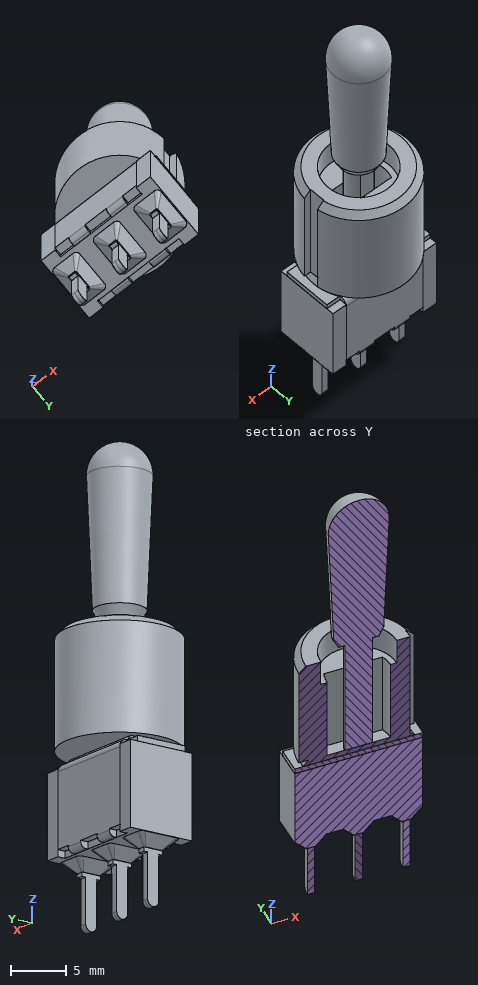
import cadquery as cq
import math


HOUSING_LENGTH = 12.7
HOUSING_DEPTH = 7.0
END_BLOCK_LENGTH = 1.65
HOUSING_HEIGHT = 8.35
SIDE_THICKNESS = 0.8

CORE_LENGTH = HOUSING_LENGTH - 2 * END_BLOCK_LENGTH
CORE_DEPTH = HOUSING_DEPTH - 2 * SIDE_THICKNESS

PIN_PITCH = CORE_LENGTH / 2
PIN_POSITIONS = [-PIN_PITCH, 0, PIN_PITCH]
PIN_LENGTH = 6.58
PIN_THICKNESS = 0.75
PIN_WIDTH = 1.25
PIN_SHOULDER_WIDTH = 2.1
PIN_SHOULDER_BOTTOM = 1.5

SEAT_HEIGHT = 1.1
SEAT_TIP_LENGTH = 0.9
SEAT_TIP_CORNER = 0.15
SEAT_CORNER = 0.45
SEAT_BASE_LENGTH = 3.05
SEAT_BASE_DEPTH = 4.45

TOP_PLATE_THICKNESS = 0.55
FRAME_TOP = HOUSING_HEIGHT + TOP_PLATE_THICKNESS
FRAME_BEND_RADIUS = SIDE_THICKNESS
FRAME_EDGE_HEIGHT = 0.7
TAB_INNER_X = 1.22
TAB_OUTER_X = 3.15
TAB_BEND_RADIUS = 0.55
TAB_LENGTH = TAB_OUTER_X - TAB_INNER_X
TAB_CENTRE_X = (TAB_INNER_X + TAB_OUTER_X) / 2

FLANGE_RADIUS = 5.55
FLANGE_HEIGHT = 0.55
BARREL_DIAMETER = 11.85
BARREL_HEIGHT = 11.35
BARREL_CHAMFER = 0.7
BORE_DIAMETER = 7.5
BORE_DEPTH = 2.68
KEYWAY_WIDTH = 1.75
KEYWAY_FLOOR_X = 5.1
LEVER_SLOT_WIDTH = 2.45
LEVER_SLOT_LENGTH = 6.25

BARREL_BOTTOM = FRAME_TOP + FLANGE_HEIGHT
BARREL_TOP = BARREL_BOTTOM + BARREL_HEIGHT

STEM_RADIUS = 1.4
STEM_FLAT_DISTANCE = 2.25
HANDLE_BOTTOM = 21.85
HANDLE_BOTTOM_RADIUS = 2.0
TAPER_BOTTOM = 22.8
TAPER_BOTTOM_RADIUS = 2.5
LEVER_TOP = 38.8
DOME_RADIUS = 3.05


def block(length, depth, bottom, top):
    """A box centred on the Z axis between two heights."""
    base = cq.Workplane("XY").workplane(offset=bottom)
    return base.rect(length, depth).extrude(top - bottom)


def rounded_outline(length, depth, corner):
    return cq.Sketch().rect(length, depth).vertices().fillet(corner)


def make_pin_seat():
    base = rounded_outline(SEAT_BASE_LENGTH, SEAT_BASE_DEPTH, SEAT_CORNER)
    tip = rounded_outline(SEAT_TIP_LENGTH, PIN_SHOULDER_WIDTH, SEAT_TIP_CORNER)
    tip = tip.moved(cq.Location(cq.Vector(0, 0, -SEAT_HEIGHT)))
    return cq.Workplane("XY").placeSketch(base, tip).loft()


def make_housing():
    housing = block(CORE_LENGTH, CORE_DEPTH, 0, HOUSING_HEIGHT)
    end_block = block(END_BLOCK_LENGTH, HOUSING_DEPTH, 0, HOUSING_HEIGHT)
    end_block_x = (CORE_LENGTH + END_BLOCK_LENGTH) / 2
    for x in (-end_block_x, end_block_x):
        housing = housing.union(end_block.translate((x, 0, 0)))
    for x in PIN_POSITIONS:
        housing = housing.union(make_pin_seat().translate((x, 0, 0)))
    return housing


def make_frame():
    frame = block(CORE_LENGTH, HOUSING_DEPTH, FRAME_EDGE_HEIGHT, FRAME_TOP)
    frame = frame.faces(">Z").edges("|X").fillet(FRAME_BEND_RADIUS)
    tab = block(TAB_LENGTH, HOUSING_DEPTH, 0, FRAME_EDGE_HEIGHT)
    tab = tab.faces("<Z").edges("|X").fillet(TAB_BEND_RADIUS)
    for x in (-TAB_CENTRE_X, TAB_CENTRE_X):
        frame = frame.union(tab.translate((x, 0, 0)))
    frame = frame.cut(block(CORE_LENGTH, CORE_DEPTH, 0, HOUSING_HEIGHT))
    return frame.union(block(HOUSING_LENGTH, CORE_DEPTH, HOUSING_HEIGHT, FRAME_TOP))


def make_flange():
    """A disc cut to the depth of the core, tapering at 45 degrees on every edge."""
    half_depth = CORE_DEPTH / 2
    half_length = math.sqrt(FLANGE_RADIUS**2 - half_depth**2)
    outline = (
        cq.Workplane("XY")
        .workplane(offset=FRAME_TOP)
        .moveTo(-half_length, -half_depth)
        .lineTo(half_length, -half_depth)
        .threePointArc((FLANGE_RADIUS, 0), (half_length, half_depth))
        .lineTo(-half_length, half_depth)
        .threePointArc((-FLANGE_RADIUS, 0), (-half_length, -half_depth))
        .close()
    )
    return outline.extrude(FLANGE_HEIGHT, taper=45)


def make_bushing():
    barrel = cq.Workplane("XY").workplane(offset=BARREL_BOTTOM).circle(BARREL_DIAMETER / 2)
    barrel = barrel.extrude(BARREL_HEIGHT).faces(">Z").chamfer(BARREL_CHAMFER)
    top = cq.Workplane("XY").workplane(offset=BARREL_TOP)
    bore = top.circle(BORE_DIAMETER / 2).extrude(-BORE_DEPTH)
    slot = top.circle(LEVER_SLOT_LENGTH / 2).extrude(-BARREL_HEIGHT)
    slot = slot.intersect(block(LEVER_SLOT_LENGTH, LEVER_SLOT_WIDTH, BARREL_BOTTOM, BARREL_TOP))
    keyway_depth = BARREL_DIAMETER / 2 - KEYWAY_FLOOR_X
    keyway = block(keyway_depth, KEYWAY_WIDTH, BARREL_BOTTOM, BARREL_TOP)
    keyway = keyway.translate((KEYWAY_FLOOR_X + keyway_depth / 2, 0, 0))
    return barrel.cut(bore).cut(slot).cut(keyway).union(make_flange())


def make_lever():
    dome_centre_z = LEVER_TOP - DOME_RADIUS
    rise = dome_centre_z - TAPER_BOTTOM
    taper_angle = math.asin(DOME_RADIUS / math.hypot(TAPER_BOTTOM_RADIUS, rise)) - math.atan2(
        TAPER_BOTTOM_RADIUS, rise
    )
    middle_angle = math.pi / 4

    def dome_point(angle):
        return (DOME_RADIUS * math.cos(angle), dome_centre_z + DOME_RADIUS * math.sin(angle))

    handle = (
        cq.Workplane("XZ")
        .moveTo(0, HANDLE_BOTTOM)
        .lineTo(HANDLE_BOTTOM_RADIUS, HANDLE_BOTTOM)
        .lineTo(TAPER_BOTTOM_RADIUS, TAPER_BOTTOM)
        .lineTo(*dome_point(-taper_angle))
        .threePointArc(dome_point(middle_angle), (0, LEVER_TOP))
        .close()
        .revolve(360, (0, 0, 0), (0, 1, 0))
    )
    stem = cq.Workplane("XY").workplane(offset=BARREL_BOTTOM).circle(STEM_RADIUS)
    stem = stem.extrude(HANDLE_BOTTOM - BARREL_BOTTOM)
    flats = block(2 * STEM_RADIUS, STEM_FLAT_DISTANCE, BARREL_BOTTOM, HANDLE_BOTTOM)
    return handle.union(stem.intersect(flats))


def make_pin(x):
    """A flat pin with a wide shoulder under its seat and a half-round tip."""
    shoulder = block(PIN_THICKNESS, PIN_SHOULDER_WIDTH, -PIN_SHOULDER_BOTTOM, -SEAT_HEIGHT)
    tip_radius = PIN_WIDTH / 2
    tip_centre_z = tip_radius - PIN_LENGTH
    blade = block(PIN_THICKNESS, PIN_WIDTH, tip_centre_z, -PIN_SHOULDER_BOTTOM)
    tip = cq.Workplane("YZ").center(0, tip_centre_z).circle(tip_radius)
    tip = tip.extrude(PIN_THICKNESS / 2, both=True)
    return shoulder.union(blade).union(tip).translate((x, 0, 0))


housing = make_housing()
frame = make_frame()
bushing = make_bushing()
lever = make_lever()
pins = [make_pin(x) for x in PIN_POSITIONS]

result = cq.Compound.makeCompound(
    [housing.val(), frame.val(), bushing.val(), lever.val(), *[pin.val() for pin in pins]]
)